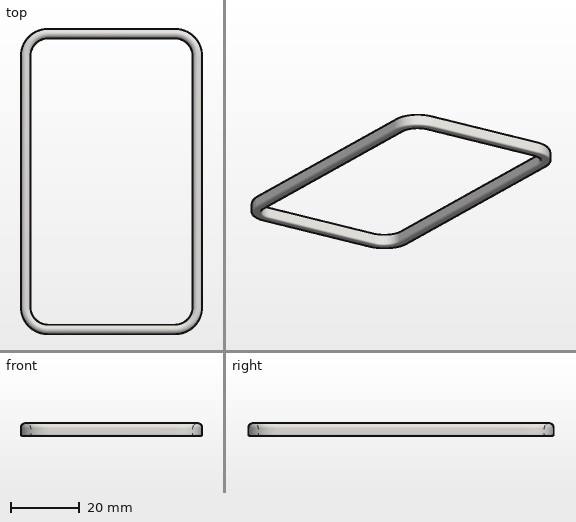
import cadquery as cq

length = 88.6
width = 52.6
height = 3.8
corner_radius = 7.9

rail_width = 2.8
bottom_radius = 0.5
crown_radius = rail_width / 2

outer_y = -length / 2
inner_y = outer_y + rail_width
middle_y = outer_y + rail_width / 2
shoulder_z = height - crown_radius


def rail_profile():
    """Flat-bottomed rail with rounded lower edges and a half-round crown."""
    return (
        cq.Workplane("YZ")
        .moveTo(outer_y + bottom_radius, 0)
        .lineTo(inner_y - bottom_radius, 0)
        .tangentArcPoint((inner_y, bottom_radius), relative=False)
        .lineTo(inner_y, shoulder_z)
        .threePointArc((middle_y, height), (outer_y, shoulder_z))
        .lineTo(outer_y, bottom_radius)
        .tangentArcPoint((outer_y + bottom_radius, 0), relative=False)
        .close()
    )


def center_path():
    """Rounded rectangle through the middle of the rail."""
    path_width = width - rail_width
    path_length = length - rail_width
    path_radius = corner_radius - rail_width / 2
    half_x = path_width / 2
    half_y = path_length / 2
    straight_x = half_x - path_radius
    straight_y = half_y - path_radius
    return (
        cq.Workplane("XY")
        .moveTo(0, -half_y)
        .lineTo(straight_x, -half_y)
        .tangentArcPoint((half_x, -straight_y), relative=False)
        .lineTo(half_x, straight_y)
        .tangentArcPoint((straight_x, half_y), relative=False)
        .lineTo(-straight_x, half_y)
        .tangentArcPoint((-half_x, straight_y), relative=False)
        .lineTo(-half_x, -straight_y)
        .tangentArcPoint((-straight_x, -half_y), relative=False)
        .close()
    )


result = rail_profile().sweep(center_path()).clean()